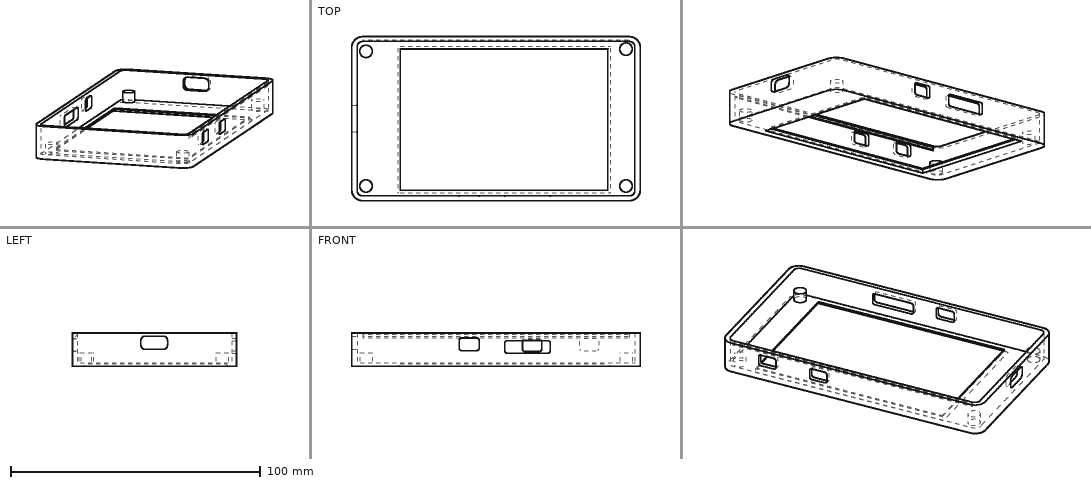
import cadquery as cq

length = 116.0
width = 66.0
height = 13.5
corner_radius = 4.5
end_wall = 2.2
side_wall = 2.0
cavity_radius = corner_radius - end_wall
floor_thickness = 1.5

window_left = -38.4
window_right = 44.8
window_front = -28.7
window_back = 28.0
window_edge = 0.5

pin_diameter = 5.0
pin_height = 4.1
pin_x = 52.2
pin_y = 27.0
raised_pin_y = 28.0
pin_places = [(-pin_x, -pin_y), (pin_x, -pin_y), (-pin_x, pin_y), (pin_x, raised_pin_y)]

opening_radius = 0.9
front_openings = [(-10.8, 6.4, 8.0, 5.0), (12.6, 5.3, 18.2, 5.0)]
back_openings = [(14.5, 6.0, 7.7, 5.0), (37.4, 6.4, 7.7, 5.0)]
left_opening = (0.1, 6.8, 10.7, 5.3)
left_opening_radius = 1.7

groove_bottom = 11.5
groove_height = 1.4
groove_depth = groove_height / 2
groove_length = length - 2 * corner_radius

cavity_length = length - 2 * end_wall
cavity_width = width - 2 * side_wall


def rounded_plate(size_x, size_y, size_z, radius):
    """Block on the ground plane with rounded vertical edges."""
    return cq.Workplane("XY").box(size_x, size_y, size_z, centered=(True, True, False)).edges("|Z").fillet(radius)


def side_opening(opening, wall_centre):
    """Cutter through a long wall, rounded along Y."""
    centre_x, bottom, size_x, size_z = opening
    cutter = cq.Workplane("XY").box(size_x, 2 * side_wall, size_z, centered=(True, True, False))
    return cutter.edges("|Y").fillet(opening_radius).translate((centre_x, wall_centre, bottom))


def end_opening(opening, wall_centre):
    """Cutter through a short wall, rounded along X."""
    centre_y, bottom, size_y, size_z = opening
    cutter = cq.Workplane("XY").box(2 * end_wall, size_y, size_z, centered=(True, True, False))
    return cutter.edges("|X").fillet(left_opening_radius).translate((wall_centre, centre_y, bottom))


cavity = rounded_plate(cavity_length, cavity_width, height, cavity_radius)
result = rounded_plate(length, width, height, corner_radius)
result = result.cut(cavity.translate((0, 0, floor_thickness)))

window_x = window_right - window_left
window_y = window_back - window_front
window_centre = ((window_left + window_right) / 2, (window_front + window_back) / 2, 0)
bevel = floor_thickness - window_edge
window = cq.Workplane("XY").box(window_x, window_y, floor_thickness, centered=(True, True, False))
window_bevel = (
    cq.Workplane("XY")
    .rect(window_x + 2 * bevel, window_y + 2 * bevel)
    .workplane(offset=bevel)
    .rect(window_x, window_y)
    .loft(ruled=True)
)
result = result.cut(window.union(window_bevel).translate(window_centre))

pins = cq.Workplane("XY").pushPoints(pin_places).circle(pin_diameter / 2).extrude(floor_thickness + pin_height)
result = result.union(pins)

side_wall_centre = (width - side_wall) / 2
end_wall_centre = (length - end_wall) / 2
for opening in front_openings:
    result = result.cut(side_opening(opening, -side_wall_centre))
for opening in back_openings:
    result = result.cut(side_opening(opening, side_wall_centre))
result = result.cut(end_opening(left_opening, -end_wall_centre))

groove_face = cavity_width / 2
groove = (
    cq.Workplane("YZ")
    .moveTo(groove_face, groove_bottom)
    .lineTo(groove_face + groove_depth, groove_bottom + groove_height / 2)
    .lineTo(groove_face, groove_bottom + groove_height)
    .close()
    .extrude(groove_length / 2, both=True)
)
result = result.cut(groove)